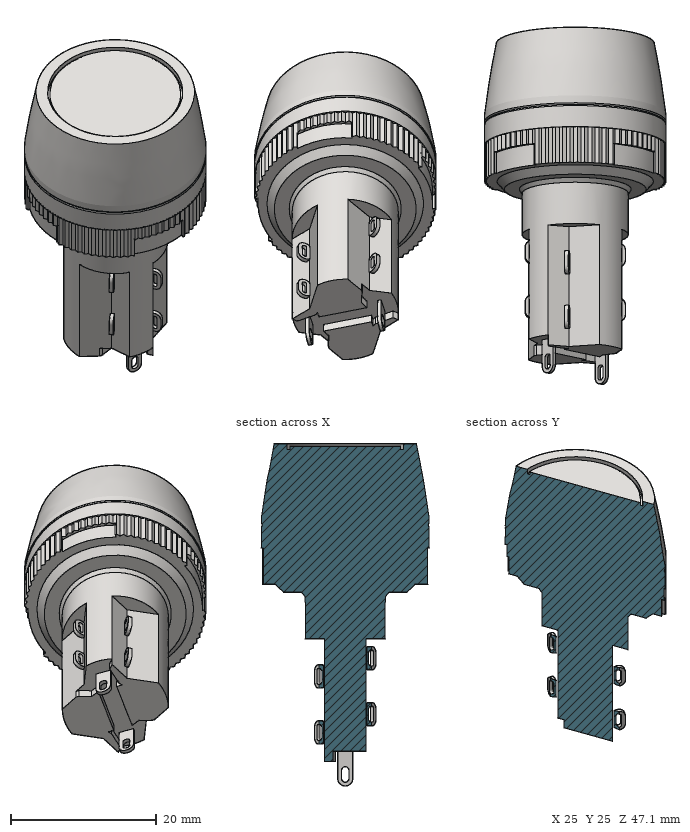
import cadquery as cq
import math


OVERALL_HEIGHT = 47.08

HEAD_TOP_Z = 14.35
HEAD_DIA = 25.0
HEAD_SHOULDER_Z = 4.35
HEAD_TOP_DIA = 21.8
HEAD_BULGE = 0.1
JOINT_TOP_Z = 3.35
JOINT_BOTTOM_Z = 2.95
JOINT_DEPTH = 0.1

LENS_RECESS_DIA = 18.57
LENS_DIA = 18.0
LENS_DROP = 0.35
LENS_GAP_DEPTH = 0.8

KNURL_LENGTH = 5.0
KNURL_TEETH = 78
KNURL_START_ANGLE = 0.58
KNURL_FLANK_ANGLE = 30.0
NUT_PAD_DIA = 24.0
NUT_PAD_WIDTH = 7.75
NUT_PAD_TOP_Z = -2.05

GASKET_TOP_DIA = 21.5
GASKET_BOTTOM_DIA = 19.5
GASKET_BOTTOM_Z = -6.1
COLLAR_DIA = 15.4
NECK_TOP_Z = -6.7
NECK_DIA = 14.6
NECK_BOTTOM_Z = -12.5

BODY_DIA = NECK_DIA
BODY_BOTTOM_Z = -29.35
LOBE_HALF_X = 2.15
LOBE_HALF_Y = 1.87
VALLEY_X = 4.25
VALLEY_Y = 3.1

RECESS_TOP_Z = -27.95
CHANNEL_WIDTH = 2.65
RECESS_OUTER_X = 8.0
RECESS_OUTER_Y = 6.0
RECESS_STEP_X = 3.47
RECESS_STEP_Y = 4.1
RECESS_DEEP_X = 2.9
RECESS_DEEP_Y = 2.45
RECESS_INNER_X = 3.4
RECESS_NOTCH_Y = 2.1
RECESS_CORNER_X = 3.8
RECESS_CORNER_Y = 1.8
RECESS_FLARE_X = 6.45
RECESS_RIM_X = 7.05

LUG_HEIGHT = 3.25
LUG_REACH = 1.6
LUG_ROOT = 0.35
LUG_THICKNESS = 0.55
LUG_ANGLE = 38.0
LUG_EYE_WIDTH = 0.65
LUG_EYE_HEIGHT = 2.2
LUG_EYE_OFFSET = 0.7
LUG_START_X = 4.45
LUG_START_Y = 3.05
FRONT_LUG_Z = -15.15
BACK_LUG_Z = -17.65
LUG_PITCH_Z = 7.7
LUG_LEVELS = 2

PIN_BOTTOM_Z = HEAD_TOP_Z - OVERALL_HEIGHT
PIN_X = 5.1
PIN_THICKNESS = 0.5
PIN_WIDTH = 2.1
PIN_EYE_WIDTH = 1.0
PIN_EYE_HEIGHT = 2.1
PIN_EYE_MARGIN = 0.55


def disc(diameter, top_z, bottom_z):
    return cq.Workplane("XY").workplane(offset=bottom_z).circle(diameter / 2).extrude(top_z - bottom_z)


def half_turn(shape):
    return shape.rotate((0, 0, 0), (0, 0, 1), 180)


def make_head():
    radius = HEAD_DIA / 2
    joint_mid_z = (JOINT_TOP_Z + JOINT_BOTTOM_Z) / 2
    top_radius = HEAD_TOP_DIA / 2
    bulge_point = ((radius + top_radius) / 2 + HEAD_BULGE, (HEAD_SHOULDER_Z + HEAD_TOP_Z) / 2)
    head = (
        cq.Workplane("XZ")
        .lineTo(radius, 0)
        .lineTo(radius, JOINT_BOTTOM_Z)
        .lineTo(radius - JOINT_DEPTH, joint_mid_z)
        .lineTo(radius, JOINT_TOP_Z)
        .lineTo(radius, HEAD_SHOULDER_Z)
        .threePointArc(bulge_point, (top_radius, HEAD_TOP_Z))
        .lineTo(0, HEAD_TOP_Z)
        .close()
        .revolve(360, (0, 0), (0, 1))
    )
    gap_bottom_z = HEAD_TOP_Z - LENS_GAP_DEPTH
    recess = disc(LENS_RECESS_DIA, HEAD_TOP_Z, gap_bottom_z)
    lens = disc(LENS_DIA, HEAD_TOP_Z - LENS_DROP, gap_bottom_z)
    return head.cut(recess).union(lens)


def make_nut():
    tip_radius = HEAD_DIA / 2
    half_pitch = math.pi * HEAD_DIA / KNURL_TEETH / 2
    root_radius = tip_radius - half_pitch * math.tan(math.radians(KNURL_FLANK_ANGLE))
    outline = []
    for i in range(2 * KNURL_TEETH):
        radius = tip_radius if i % 2 == 0 else root_radius
        angle = math.radians(KNURL_START_ANGLE) + math.pi * i / KNURL_TEETH
        outline.append((radius * math.cos(angle), radius * math.sin(angle)))
    nut = cq.Workplane("XY").polyline(outline).close().extrude(-KNURL_LENGTH)

    pad_height = KNURL_LENGTH + NUT_PAD_TOP_Z
    ring = disc(2 * HEAD_DIA, NUT_PAD_TOP_Z, -KNURL_LENGTH).cut(
        disc(NUT_PAD_DIA, NUT_PAD_TOP_Z, -KNURL_LENGTH)
    )
    strips = cq.Workplane("XY").workplane(offset=-KNURL_LENGTH)
    cross = strips.rect(2 * HEAD_DIA, NUT_PAD_WIDTH).extrude(pad_height).union(
        strips.rect(NUT_PAD_WIDTH, 2 * HEAD_DIA).extrude(pad_height)
    )
    return nut.cut(ring.intersect(cross))


def make_neck():
    neck_radius = NECK_DIA / 2
    collar_radius = COLLAR_DIA / 2
    return (
        cq.Workplane("XZ")
        .moveTo(0, -KNURL_LENGTH)
        .lineTo(GASKET_TOP_DIA / 2, -KNURL_LENGTH)
        .lineTo(GASKET_BOTTOM_DIA / 2, GASKET_BOTTOM_Z)
        .lineTo(collar_radius, GASKET_BOTTOM_Z)
        .lineTo(neck_radius, NECK_TOP_Z)
        .lineTo(neck_radius, NECK_BOTTOM_Z)
        .lineTo(0, NECK_BOTTOM_Z)
        .close()
        .revolve(360, (0, 0), (0, 1))
    )


def make_body():
    body = disc(BODY_DIA, NECK_BOTTOM_Z, BODY_BOTTOM_Z)
    radius = BODY_DIA / 2
    lobe_y = math.sqrt(radius**2 - LOBE_HALF_X**2)
    lobe_x = math.sqrt(radius**2 - LOBE_HALF_Y**2)
    for sx in (1, -1):
        for sy in (1, -1):
            groove = (
                cq.Workplane("XY")
                .workplane(offset=BODY_BOTTOM_Z)
                .moveTo(sx * VALLEY_X, sy * VALLEY_Y)
                .lineTo(sx * LOBE_HALF_X, sy * lobe_y)
                .lineTo(sx * lobe_x, sy * lobe_y)
                .lineTo(sx * lobe_x, sy * LOBE_HALF_Y)
                .close()
                .extrude(NECK_BOTTOM_Z - BODY_BOTTOM_Z)
            )
            body = body.cut(groove)
    return body


def make_base_recess():
    channel_half = CHANNEL_WIDTH / 2
    height = RECESS_TOP_Z - BODY_BOTTOM_Z
    base = cq.Workplane("XY").workplane(offset=BODY_BOTTOM_Z)
    pocket = (
        base.moveTo(RECESS_STEP_X, -RECESS_OUTER_Y)
        .lineTo(RECESS_STEP_X, -RECESS_STEP_Y)
        .lineTo(RECESS_DEEP_X, -RECESS_DEEP_Y)
        .lineTo(RECESS_INNER_X, -channel_half)
        .lineTo(RECESS_INNER_X, RECESS_NOTCH_Y)
        .lineTo(RECESS_CORNER_X, RECESS_CORNER_Y)
        .lineTo(RECESS_FLARE_X, channel_half)
        .lineTo(RECESS_RIM_X, LOBE_HALF_Y)
        .lineTo(RECESS_OUTER_X, LOBE_HALF_Y)
        .lineTo(RECESS_OUTER_X, -RECESS_OUTER_Y)
        .close()
        .extrude(height)
    )
    channel = base.rect(2 * RECESS_OUTER_X, CHANNEL_WIDTH).extrude(height)
    return channel.union(pocket).union(half_turn(pocket))


def make_lug(side, z):
    width = LUG_REACH + LUG_ROOT
    plate = (
        cq.Workplane("XZ")
        .center((LUG_REACH - LUG_ROOT) / 2, 0)
        .slot2D(LUG_HEIGHT, width, 90)
        .extrude(LUG_THICKNESS / 2, both=True)
    )
    eye = (
        cq.Workplane("XZ")
        .center(LUG_EYE_OFFSET, 0)
        .slot2D(LUG_EYE_HEIGHT, LUG_EYE_WIDTH, 90)
        .extrude(LUG_THICKNESS, both=True)
    )
    lug = plate.cut(eye).rotate((0, 0, 0), (0, 0, 1), side * LUG_ANGLE)
    return lug.translate((LUG_START_X, side * LUG_START_Y, z))


def make_pin():
    radius = PIN_WIDTH / 2
    tip_z = PIN_BOTTOM_Z + radius
    pin = (
        cq.Workplane("YZ")
        .moveTo(-radius, RECESS_TOP_Z)
        .lineTo(-radius, tip_z)
        .threePointArc((0, PIN_BOTTOM_Z), (radius, tip_z))
        .lineTo(radius, RECESS_TOP_Z)
        .close()
        .extrude(PIN_THICKNESS / 2, both=True)
    )
    eye = (
        cq.Workplane("YZ")
        .center(0, PIN_BOTTOM_Z + PIN_EYE_MARGIN + PIN_EYE_HEIGHT / 2)
        .slot2D(PIN_EYE_HEIGHT, PIN_EYE_WIDTH, 90)
        .extrude(PIN_THICKNESS, both=True)
    )
    return pin.cut(eye).translate((PIN_X, 0, 0))


result = make_head().union(make_nut()).union(make_neck()).union(make_body()).cut(make_base_recess())

for level in range(LUG_LEVELS):
    drop = level * LUG_PITCH_Z
    for side, top_lug_z in ((-1, FRONT_LUG_Z), (1, BACK_LUG_Z)):
        lug = make_lug(side, top_lug_z - drop)
        result = result.union(lug).union(half_turn(lug))

pin = make_pin()
result = result.union(pin).union(half_turn(pin))